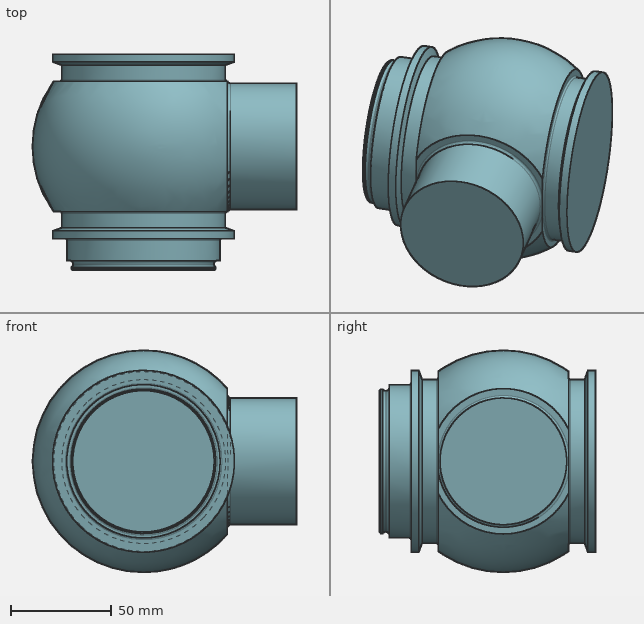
import cadquery as cq
import math

body_radius = 55.55
body_half_width = 32.6
outlet_flat_x = 42.0

outlet_radius = 31.7
overall_length = 132.13
outlet_end_x = overall_length - body_radius
outlet_fillet = 1.3

neck_radius = 41.0
neck_fillet = 0.85
flange_radius = 45.5
flange_face_y = 46.15
flange_rim_width = 3.9
flange_taper_width = 1.64

plug_radius = 38.35
plug_fillet = 0.75
plug_end_y = 57.1

nose_end_y = 62.0
groove_radius = 35.35
groove_fillet = 1.55
groove_floor_width = 0.4
lip_radius = 36.15
nose_face_radius = groove_radius
lip_chamfer = lip_radius - nose_face_radius


def spin_about_y(profile):
    """Revolve a closed (radius, y) outline about the Y axis."""
    return profile.close().revolve(360, (0, 0, 0), (0, 1, 0))


def make_body():
    sphere = cq.Workplane("XY").sphere(body_radius)
    slab_height = 3 * body_radius
    slab_length = body_radius + outlet_flat_x
    slab = cq.Workplane("XY").box(slab_length, 2 * body_half_width, slab_height)
    return sphere.intersect(slab.translate((outlet_flat_x - slab_length / 2, 0, 0)))


def make_outlet():
    """Pipe with a concave fillet at its root, trimmed to the width of the body."""
    fillet_end_x = outlet_flat_x + outlet_fillet
    pipe = (
        cq.Workplane("XY")
        .lineTo(0, outlet_radius + outlet_fillet)
        .lineTo(outlet_flat_x, outlet_radius + outlet_fillet)
        .radiusArc((fillet_end_x, outlet_radius), -outlet_fillet)
        .lineTo(outlet_end_x, outlet_radius)
        .lineTo(outlet_end_x, 0)
        .close()
        .revolve(360, (0, 0, 0), (1, 0, 0))
    )
    trim_size = 2 * outlet_end_x
    trim = cq.Workplane("XY").box(trim_size, 2 * body_half_width, trim_size)
    return pipe.intersect(trim)


def make_clamp_connection():
    """Neck and tapered clamp flange on the +Y side."""
    rim_start_y = flange_face_y - flange_rim_width
    return spin_about_y(
        cq.Workplane("XY")
        .lineTo(neck_radius + neck_fillet, 0)
        .lineTo(neck_radius + neck_fillet, body_half_width)
        .radiusArc((neck_radius, body_half_width + neck_fillet), neck_fillet)
        .lineTo(neck_radius, rim_start_y - flange_taper_width)
        .lineTo(flange_radius, rim_start_y)
        .lineTo(flange_radius, flange_face_y)
        .lineTo(0, flange_face_y)
    )


def make_plug():
    """Plug and nose, built pointing along +Y; both sides of the groove curve up from its floor."""
    floor_start_y = plug_end_y + groove_fillet
    floor_end_y = floor_start_y + groove_floor_width
    lip_inset = groove_radius + groove_fillet - lip_radius
    lip_start_y = floor_end_y + math.sqrt(groove_fillet**2 - lip_inset**2)
    lip_end_y = nose_end_y - lip_chamfer
    return spin_about_y(
        cq.Workplane("XY")
        .lineTo(plug_radius + plug_fillet, 0)
        .lineTo(plug_radius + plug_fillet, flange_face_y)
        .radiusArc((plug_radius, flange_face_y + plug_fillet), plug_fillet)
        .lineTo(plug_radius, plug_end_y)
        .lineTo(groove_radius + groove_fillet, plug_end_y)
        .radiusArc((groove_radius, floor_start_y), groove_fillet)
        .lineTo(groove_radius, floor_end_y)
        .radiusArc((lip_radius, lip_start_y), groove_fillet)
        .lineTo(lip_radius, lip_end_y)
        .lineTo(nose_face_radius, nose_end_y)
        .lineTo(0, nose_end_y)
    )


connection = make_clamp_connection()
result = (
    make_body()
    .union(make_outlet())
    .union(connection)
    .union(connection.mirror("XZ"))
    .union(make_plug().mirror("XZ"))
)